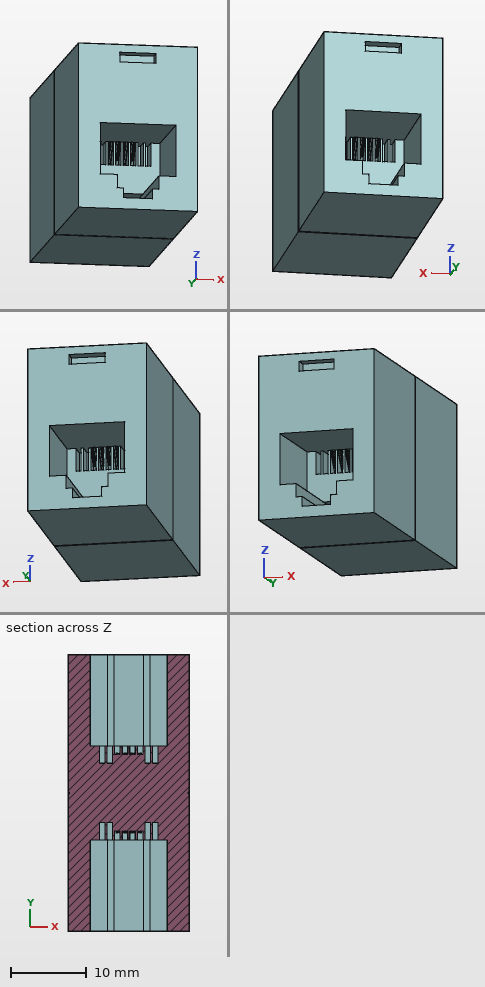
import cadquery as cq
import math

width, length, height = 15.95, 36.53, 22.15
front_y = -length / 2
top_z = height / 2
bottom_z = -height / 2

seam_width = 0.15
seam_depth = 0.1

latch_width, latch_height, latch_depth = 4.85, 1.3, 1.83
latch_top_z = top_z - 1.05

socket_width, socket_height, socket_depth = 10.12, 6.9, 12.05
socket_bottom_z = bottom_z + 4.6
socket_top_z = socket_bottom_z + socket_height
socket_back_y = front_y + socket_depth

keyway_steps = [(5.6, 2.8), (3.9, 1.5)]

slot_count = 8
slot_span = 7.0
slot_pitch = slot_span / (slot_count - 1)
slot_width = 0.7
slot_height = 3.1
slot_bottom_z = socket_top_z - slot_height
contact_tilt = 36.4
slot_depth = slot_height * math.tan(math.radians(contact_tilt))

contact_slots = range(2, 6)
rib_offset = 0.15
rib_thickness = 0.2
long_rib_width = 0.22
short_rib_width = 0.1
short_rib_rise = 0.95


def box(x_size, y_start, y_end, z_low, z_high, x_centre=0):
    """Box centred on x_centre, given by its Y and Z ends."""
    return cq.Workplane("XY").box(
        x_size, y_end - y_start, z_high - z_low, centered=(True, False, False)
    ).translate((x_centre, y_start, z_low))


def side_prism(points, x_size, x_centre):
    """Prism with a (Y, Z) profile, centred on x_centre."""
    return (
        cq.Workplane("YZ")
        .polyline(points)
        .close()
        .extrude(x_size / 2, both=True)
        .translate((x_centre, 0, 0))
    )


def slope_y(z):
    """Y of the sloped contact face at height z; it leans back towards the slot floor."""
    return socket_back_y + slot_depth * (socket_top_z - z) / slot_height


def sloped_slot(x):
    """Wedge-shaped slot whose back is the sloped contact face."""
    profile = [
        (socket_back_y, socket_top_z),
        (socket_back_y, slot_bottom_z),
        (slope_y(slot_bottom_z), slot_bottom_z),
    ]
    return side_prism(profile, slot_width, x)


def contact_rib(x, rib_width, end_z):
    """Rib standing on the sloped face, from the socket ceiling down to end_z."""
    profile = [
        (slope_y(socket_top_z) - rib_thickness, socket_top_z),
        (slope_y(end_z) - rib_thickness, end_z),
        (slope_y(end_z), end_z),
        (slope_y(socket_top_z), socket_top_z),
    ]
    return side_prism(profile, rib_width, x)


def half_block():
    """Front half of the block with its latch slot, socket and contacts."""
    half = box(width, front_y, 0, bottom_z, top_z)
    half = half.cut(
        box(latch_width, front_y, front_y + latch_depth, latch_top_z - latch_height, latch_top_z)
    )
    half = half.cut(box(socket_width, front_y, socket_back_y, socket_bottom_z, socket_top_z))

    for step_width, floor_height in keyway_steps:
        half = half.cut(box(step_width, front_y, 0, bottom_z + floor_height, socket_bottom_z))

    for index in range(slot_count):
        x = index * slot_pitch - slot_span / 2
        if index not in contact_slots:
            slot_back_y = socket_back_y + slot_depth
            half = half.cut(box(slot_width, socket_back_y, slot_back_y, slot_bottom_z, socket_top_z, x))
            continue
        long_rib_side = 1 if index % 2 == 0 else -1
        long_rib_x = x + long_rib_side * rib_offset
        short_rib_x = x - long_rib_side * rib_offset
        half = half.cut(sloped_slot(x))
        half = half.union(contact_rib(long_rib_x, long_rib_width, slot_bottom_z))
        half = half.union(contact_rib(short_rib_x, short_rib_width, slot_bottom_z + short_rib_rise))
    return half


def seam_groove():
    """Shallow square-section ring cut into the four long sides at mid-length."""
    outer = box(width, -seam_width / 2, seam_width / 2, bottom_z, top_z)
    core = box(
        width - 2 * seam_depth,
        -seam_width / 2,
        seam_width / 2,
        bottom_z + seam_depth,
        top_z - seam_depth,
    )
    return outer.cut(core)


front_half = half_block()
result = front_half.union(front_half.mirror("XZ")).cut(seam_groove())